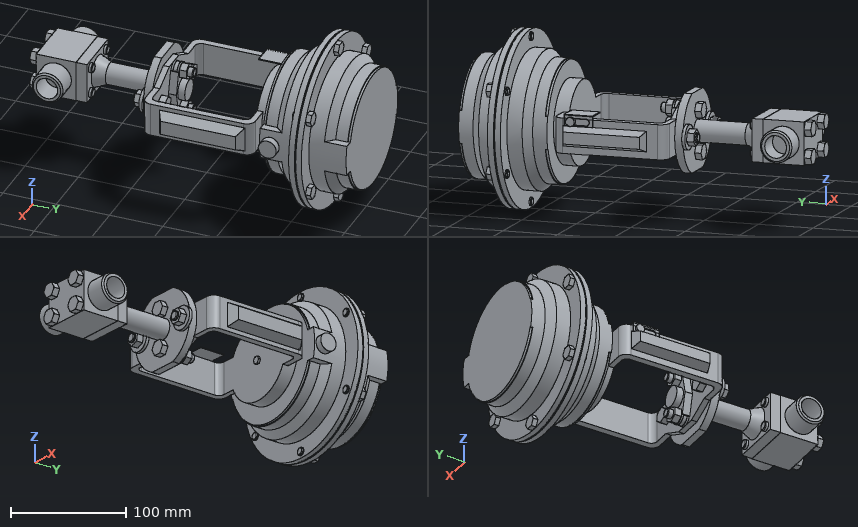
import cadquery as cq
import math

length = 313.0

flange_diameter = 158.7
flange_radius = flange_diameter / 2
flange_front = 266.0
flange_back = 278.0
gasket_thickness = 1.0
gasket_inset = 1.3
shell_radius = 62.3
cap_radius = 55.5
rim_radius = 54.5
rim_height = 2.2
housing_front = 231.5
front_cone = (244.8, 252.0)
back_cone = (292.0, 299.5)
rib_half_width = 14.7
flange_bolt_count = 6
flange_bolt_circle = 73.2
flange_head_radius = 6.5
flange_head_height = 4.7
flange_stud_radius = 3.8
flange_stud_length = 2.0
air_port_radius = 8.5
air_port_end = 69.0
air_port_y = 241.5

hub_radius = 38.2
yoke_half_width = 60.0
yoke_side = 7.0
yoke_end = 5.5
yoke_half_depth = 15.5
yoke_front = 120.2
yoke_back = 223.8
yoke_bend = 8.0
yoke_inner_bend = 5.5
yoke_inside_front = yoke_front + yoke_end
yoke_inside_back = yoke_back - yoke_end
pad_half_depth = 26.0
pad_half_width = 11.0
pad_root_half_width = 32.5
plug_radius = 3.8
plug_height = 2.2

stiffener_reach = 69.5
stiffener_top = (141.8, 212.0)
left_root = (138.5, 215.3)
left_root_half_depth = 9.0
left_top_half_depth = 5.3
right_root = (136.8, 217.2)
right_root_half_depth = 11.5
right_top_half_depth = 6.5

indicator_y = (187.8, 213.8)
indicator_width = 19.5
indicator_top = 19.5
indicator_bottom = 9.0
indicator_sheet = 1.0
indicator_screw_radius = 4.0
indicator_screw_height = 2.2
indicator_screw_y = 207.8
indicator_center_z = 13.0
indicator_slot_front = 191.0
indicator_slot_width = 6.0

mount_radius = hub_radius
mount_half_depth = 35.5
mount_front = 112.7
hex_radius = 7.5
side_bolt_x = 30.0
side_head_height = 6.5
washer_radius = 11.3
washer_thickness = 2.97
side_nut_height = 6.5
stud_radius = 4.5
stud_chamfer = 0.78
side_stud_end = 101.0
corner_turn = 90.0
skew_turn = 20.0
center_bolt_z = 18.5
center_head_height = 6.0
stack_levels = (127.7, 131.5, 133.3)
spring_washer_radius = 7.2
center_nut_top = 140.0
center_stud_top = 145.2
retainer_half_width = 12.8
retainer_half_flat = 8.0
retainer_half_depth = 20.5

tube_radius = 10.0
cone_radius = 14.7
cone_start = 65.5
block_back = 54.0
bonnet_joint = 43.8
block_front = 6.3
block_half_width = 24.5
block_half_depth = 19.5
bonnet_inset = 0.15
port_y = 25.0
port_end = 45.0
port_radius = 14.5
port_bore_radius = 10.0
port_chamfer = 1.5
block_bolt_x = 17.0
block_bolt_z = 12.5
head_chamfer = 0.5
block_stud_length = 3.0


def at(y, x=0, z=0):
    """Workplane at height y, facing along +Y (its local y axis is -Z)."""
    return cq.Workplane(cq.Plane((x, y, z), (1, 0, 0), (0, 1, 0)))


def rod(y_front, y_back, radius, x=0, z=0):
    return at(y_front, x, z).circle(radius).extrude(y_back - y_front)


def hexagon(y_front, y_back, radius, x=0, z=0, turn=0):
    """Hexagonal prism; with turn 0 two of its corners lie along X."""
    prism = at(y_front).polygon(6, 2 * radius).extrude(y_back - y_front)
    return prism.rotate((0, 0, 0), (0, 1, 0), turn).translate((x, 0, z))


def block(x_range, y_range, z_range):
    size = [high - low for low, high in (x_range, y_range, z_range)]
    corner = (x_range[0], y_range[0], z_range[0])
    return cq.Workplane("XY").box(*size, centered=False).translate(corner)


def end_relief(end, cone_inner, cone_outer):
    """Ring of material removed to neck one end of the shell down to the cap."""
    outside = shell_radius + 3
    outline = [
        (cap_radius, end),
        (cap_radius, cone_inner),
        (shell_radius, cone_outer),
        (outside, cone_outer),
        (outside, end),
    ]
    return cq.Workplane("XY").polyline(outline).close().revolve(360, (0, 0), (0, 1))


def rim_relief(y_front):
    """Shallow step around the end of a cap, interrupted by a flush tab at -X and +X."""
    band = block(
        (-cap_radius, cap_radius), (y_front, y_front + rim_height), (-rib_half_width, rib_half_width)
    )
    ring = rod(y_front, y_front + rim_height, cap_radius)
    return ring.cut(rod(y_front, y_front + rim_height, rim_radius)).cut(band)


def housing():
    rib_zone = block(
        (0, shell_radius + 3), (housing_front, length), (-rib_half_width, rib_half_width)
    )
    body = rod(housing_front, length, shell_radius)
    body = body.cut(end_relief(housing_front, *front_cone).cut(rib_zone))
    body = body.cut(end_relief(length, *reversed(back_cone)).cut(rib_zone))
    for y_front in (housing_front, length - rim_height):
        body = body.cut(rim_relief(y_front))

    flange_middle = (flange_front + flange_back) / 2
    body = body.union(rod(flange_front, flange_back, flange_radius))
    gap_front = flange_middle - gasket_thickness / 2
    gap_back = flange_middle + gasket_thickness / 2
    gap = rod(gap_front, gap_back, flange_radius)
    body = body.cut(gap.cut(rod(gap_front, gap_back, flange_radius - gasket_inset)))

    air_port = cq.Workplane("YZ").center(air_port_y, 0).circle(air_port_radius).extrude(air_port_end)
    return body.union(air_port)


def flange_bolts():
    bolts = cq.Workplane("XY")
    for i in range(flange_bolt_count):
        angle = math.radians(90 + 360 / flange_bolt_count * i)
        x = flange_bolt_circle * math.cos(angle)
        z = flange_bolt_circle * math.sin(angle)
        head = hexagon(flange_back, flange_back + flange_head_height, flange_head_radius, x, z)
        tip = rod(flange_front - flange_stud_length, flange_front, flange_stud_radius, x, z)
        bolts = bolts.union(head).union(tip.faces("<Y").chamfer(stud_chamfer))
    return bolts


def yoke():
    depth = (-yoke_half_depth, yoke_half_depth)
    inner_half_width = yoke_half_width - yoke_side
    outer = block((-yoke_half_width, yoke_half_width), (yoke_front, yoke_back), depth)
    window = block(
        (-inner_half_width, inner_half_width), (yoke_inside_front, yoke_inside_back), depth
    )
    strap = outer.edges("|Z").fillet(yoke_bend).cut(window.edges("|Z").fillet(yoke_inner_bend))

    strap = strap.union(rod(yoke_inside_back, housing_front, hub_radius))
    strap = strap.union(hexagon(yoke_inside_back - plug_height, yoke_inside_back, plug_radius))

    wing = [
        (-pad_root_half_width, yoke_half_depth),
        (-pad_half_width, pad_half_depth),
        (pad_half_width, pad_half_depth),
        (pad_root_half_width, yoke_half_depth),
    ]
    pad_outline = wing + [(-x, -z) for x, z in wing]
    pad = at(yoke_front).polyline(pad_outline).close().extrude(yoke_end)
    return strap.union(pad)


def stiffener(side, root_y, root_half_depth, top_half_depth):
    """Tapered rib on one strap leg; side is +1 for +X and -1 for -X."""

    def section(x, y_range, half_depth):
        middle = (y_range[0] + y_range[1]) / 2
        plane = cq.Workplane("YZ", origin=(side * x, middle, 0))
        return plane.rect(y_range[1] - y_range[0], 2 * half_depth).wires().val()

    root = section(yoke_half_width, root_y, root_half_depth)
    top = section(stiffener_reach, stiffener_top, top_half_depth)
    return cq.Workplane(cq.Solid.makeLoft([root, top], True))


def indicator():
    outside = -yoke_half_width - indicator_sheet
    cover = block(
        (outside, outside + indicator_width), indicator_y, (indicator_top - indicator_sheet, indicator_top)
    )
    side = block((outside, -yoke_half_width), indicator_y, (indicator_bottom, indicator_top))

    slot_middle = (indicator_slot_front + indicator_screw_y) / 2
    slot = (
        cq.Workplane("YZ", origin=(outside, slot_middle, indicator_center_z))
        .slot2D(indicator_screw_y - indicator_slot_front, indicator_slot_width)
        .extrude(indicator_sheet)
    )
    screw = (
        cq.Workplane("YZ", origin=(-yoke_half_width, indicator_screw_y, indicator_center_z))
        .circle(indicator_screw_radius)
        .extrude(-indicator_sheet - indicator_screw_height)
    )
    return cover.union(side.cut(slot)).union(screw)


def mounting_flange():
    flat_zone = block(
        (-mount_radius, mount_radius), (mount_front, yoke_front), (-mount_half_depth, mount_half_depth)
    )
    return rod(mount_front, yoke_front, mount_radius).intersect(flat_zone)


def side_bolt(x, head_turn, nut_turn):
    """Bolt through strap and flange with a washer and nut below."""
    washer_front = mount_front - washer_thickness
    nut_front = washer_front - side_nut_height
    head = hexagon(yoke_inside_front, yoke_inside_front + side_head_height, hex_radius, x, 0, head_turn)
    nut = hexagon(nut_front, washer_front, hex_radius, x, 0, nut_turn)
    washer = rod(washer_front, mount_front, washer_radius, x)
    stud = rod(side_stud_end, nut_front, stud_radius, x).faces("<Y").chamfer(stud_chamfer)
    return head.union(washer).union(nut).union(stud)


def center_bolt(z):
    """Bolt beside the stem with its head below, washers and a nut above."""
    spring_front, spring_back, nut_front = stack_levels
    head = hexagon(mount_front - center_head_height, mount_front, hex_radius, 0, z)
    washers = rod(yoke_inside_front, nut_front, spring_washer_radius, 0, z)
    washers = washers.union(rod(yoke_inside_front, spring_front, hex_radius, 0, z))
    washers = washers.union(rod(spring_back, nut_front, hex_radius, 0, z))
    nut = hexagon(nut_front, center_nut_top, hex_radius, 0, z, corner_turn)
    stud = rod(center_nut_top, center_stud_top, stud_radius, 0, z).faces(">Y").chamfer(stud_chamfer)
    return head.union(washers).union(nut).union(stud)


def stem():
    tube = rod(block_back, center_nut_top, tube_radius)
    cone = at(block_back).circle(cone_radius).workplane(offset=cone_start - block_back)
    cone = cone.circle(tube_radius).loft()
    retainer_outline = [
        (retainer_half_width, 0),
        (retainer_half_flat, retainer_half_depth),
        (-retainer_half_flat, retainer_half_depth),
        (-retainer_half_width, 0),
        (-retainer_half_flat, -retainer_half_depth),
        (retainer_half_flat, -retainer_half_depth),
    ]
    retainer = at(yoke_inside_front).polyline(retainer_outline).close()
    retainer = retainer.extrude(stack_levels[2] - yoke_inside_front)
    return tube.union(cone).union(retainer)


def valve_body():
    lower = block(
        (-block_half_width, block_half_width),
        (block_front, bonnet_joint),
        (-block_half_depth, block_half_depth),
    )
    bonnet_half_width = block_half_width - bonnet_inset
    bonnet_half_depth = block_half_depth - bonnet_inset
    bonnet = block(
        (-bonnet_half_width, bonnet_half_width),
        (bonnet_joint, block_back),
        (-bonnet_half_depth, bonnet_half_depth),
    )
    body = lower.union(bonnet)

    port_plane = cq.Workplane("YZ", origin=(-port_end, port_y, 0))
    stubs = port_plane.circle(port_radius).extrude(2 * port_end).faces("<X or >X").chamfer(port_chamfer)
    bore = port_plane.circle(port_bore_radius).extrude(port_end - block_half_width)
    body = body.union(stubs).cut(bore).cut(bore.mirror("YZ"))

    for x in (-block_bolt_x, block_bolt_x):
        for z in (-block_bolt_z, block_bolt_z):
            head = hexagon(0, block_front, hex_radius, x, z)
            crown = rod(0, block_front, hex_radius, x, z).faces("<Y").chamfer(head_chamfer)
            tip = rod(block_back, block_back + block_stud_length, stud_radius, x, z)
            body = body.union(head.intersect(crown)).union(tip.faces(">Y").chamfer(stud_chamfer))
    return body


parts = [
    flange_bolts(),
    yoke(),
    stiffener(-1, left_root, left_root_half_depth, left_top_half_depth),
    stiffener(1, right_root, right_root_half_depth, right_top_half_depth),
    indicator(),
    mounting_flange(),
    side_bolt(-side_bolt_x, corner_turn, -skew_turn),
    side_bolt(side_bolt_x, skew_turn, 0),
    center_bolt(-center_bolt_z),
    center_bolt(center_bolt_z),
    stem(),
    valve_body(),
]
result = housing()
for part in parts:
    result = result.union(part)